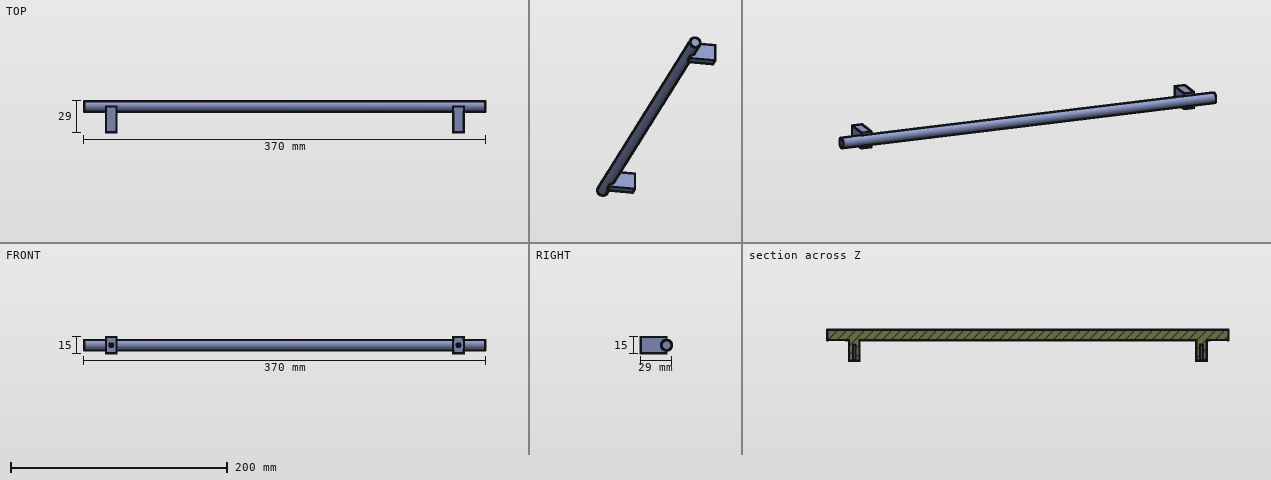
import cadquery as cq

bar_length = 370.0
bar_diameter = 10.0
bar_chamfer = 0.5
overall_depth = 29.0
post_spacing = 320.0
post_width = bar_diameter
post_height = 15.0
screw_hole_diameter = 2.2
screw_hole_depth = 14.8
countersink_diameter = 3.5
countersink_angle = 90

bar_radius = bar_diameter / 2
post_length = overall_depth - bar_radius


def make_bar():
    """Round bar centred on the X axis, with both end edges chamfered."""
    start = (-bar_length / 2, 0, 0)
    bar = cq.Workplane("YZ", origin=start).circle(bar_radius).extrude(bar_length)
    return bar.faces("<X or >X").chamfer(bar_chamfer)


def make_post(x):
    """Post from the bar axis to the mounting face, with a blind countersunk screw hole."""
    block = cq.Workplane("XY").box(post_width, post_length, post_height)
    post = block.faces("<Y").workplane().cskHole(
        screw_hole_diameter, countersink_diameter, countersink_angle, screw_hole_depth
    )
    return post.translate((x, -post_length / 2, 0))


result = make_bar()
for side in (-1, 1):
    result = result.union(make_post(side * post_spacing / 2))